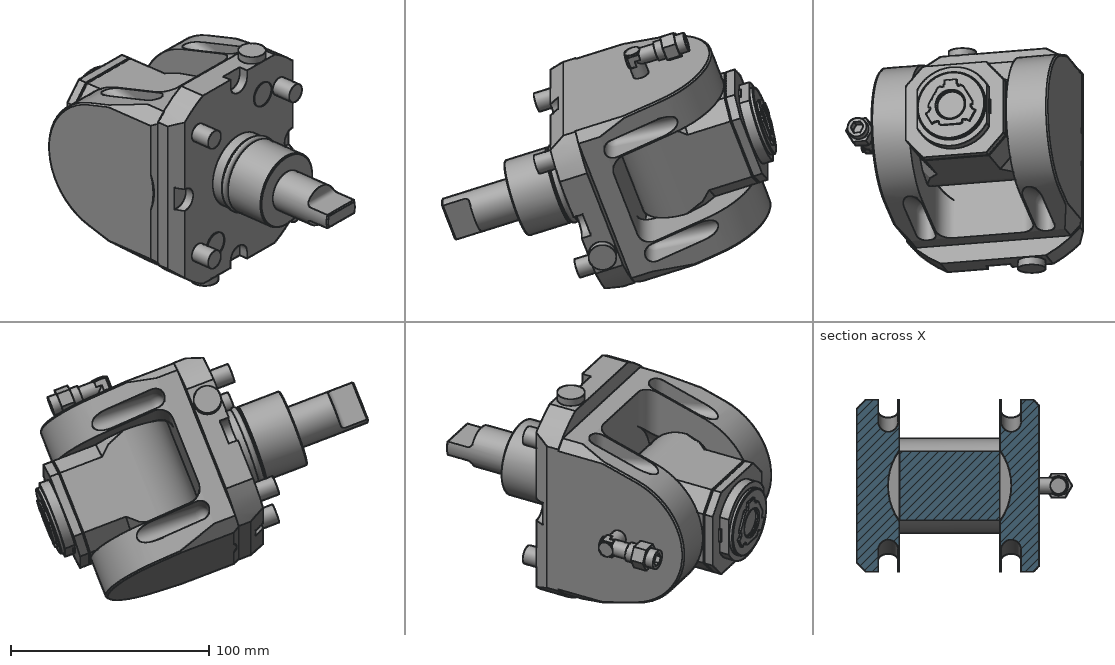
import cadquery as cq
import math


flange_thickness = 14.7
flange_half_width = 45.2
flange_half_height = 55.0
flange_corner_radius = 61.5
flange_bevel_length = 8.2
flange_bevel_depth = 3.8
key_slot_width = 12.6
key_slot_depth = 5.0
key_slot_reach = 10.2

pivot_x = -49.8
cap_radius = 37.4
cap_slope = math.radians(15.8)
body_half_height = 45.5
pad_height = 1.7
corner_sum = 85.8
cap_edge_chamfer = 0.9
pad_bevel_length = 3.4
pad_disc_radius = 33.5
gap_half_width = 25.5
gap_corner_radius = 7.7
gap_relief_radius = 31.0

head_radius = 24.0
head_front_x = -87.5
head_chamfer_y = 8.9
head_chamfer_z = 9.7
chamfer_break_ratio = 0.45
chamfer_full_x = -64.7
chamfer_break_x = -59.4
plate_front_x = -93.0
plate_groove_width = 0.7
plate_groove_depth = 0.5

nut_radius = 20.8
nut_half_width = 18.1
nut_front_x = -98.3
nut_tab_half_width = 19.0
nut_tab_height = 7.2
nut_tab_thickness = 1.0
collar_radius = 17.7
collar_front_x = -100.3
collar_chamfer = 0.5
nose_front_x = -101.5
nose_radius = 11.5
nose_flat_distance = 10.4
nose_notch_radius = 0.9
nose_notch_distance = 11.3
nose_notch_angle = 23
nose_lobe_radius = 13.1
nose_lobe_width = 6.3
nose_lobe_count = 3
nose_bore_radius = 7.2
nose_bore_depth = 1.7
nose_bore_chamfer = 0.7

screw_y = 31.0
screw_z = 35.0
screw_radius = 5.0
screw_length = 11.0
groove_radius = 5.0
groove_tilt = math.radians(13)
groove_end_x = -30.4
groove_end_z = 31.7
groove_length = 51.2
port_y = 18.1
port_z = 36.0
port_seal_radius = 6.7
port_seal_height = 0.5
plug_radius = 7.0
plug_x = -7.0
plug_top_z = 58.96

hub_radius = 20.0
hub_length = 32.5
edge_chamfer = 0.5
seal_groove_start = 6.0
seal_groove_width = 4.3
seal_groove_radius = 18.3
seal_ring_x = 7.7
seal_ring_radius = 1.7
seal_ring_outer_radius = 20.6
shaft_radius = 11.0
shaft_end_x = 69.1
tang_start_x = 54.8
tang_half_thickness = 4.0
tang_root_radius = 2.5
tang_end_chamfer = 0.7

pipe_radius = 4.1
elbow_pad_half_width = 3.0
elbow_pad_half_height = 4.3
fitting_y = 55.0
fitting_end_x = -77.5
fitting_collar_radius = 5.0
fitting_collar_length = 16.0
fitting_hex_x = -72.9
fitting_hex_length = 7.0
fitting_hex_diameter = 14.0
fitting_socket_diameter = 6.7
fitting_socket_depth = 5.1


def cylinder_x(radius, x_start, x_end, y=0, z=0):
    """Cylinder along X between two X positions."""
    return cq.Workplane("YZ", origin=(x_start, y, z)).circle(radius).extrude(x_end - x_start)


def block(x_start, x_end, y_start, y_end, z_start, z_end):
    """Axis-aligned block given by its limits."""
    size = (x_end - x_start, y_end - y_start, z_end - z_start)
    return cq.Workplane("XY", origin=(x_start, y_start, z_start)).box(*size, centered=False)


def extrude_y(sketch, y_start, y_end):
    """Extrude a profile drawn in X and Z from one Y position to another."""
    return sketch.extrude(-(y_end - y_start)).translate((0, y_start, 0))


def make_flange():
    bevel_x = -flange_bevel_length
    bevel_y = flange_half_width - flange_bevel_depth
    flange = (
        cq.Workplane("XY", origin=(0, 0, -flange_half_height))
        .moveTo(-flange_thickness, -flange_half_width)
        .lineTo(bevel_x, -flange_half_width)
        .lineTo(0, -bevel_y)
        .lineTo(0, bevel_y)
        .lineTo(bevel_x, flange_half_width)
        .lineTo(-flange_thickness, flange_half_width)
        .close()
        .extrude(2 * flange_half_height)
    )
    flange = flange.intersect(cylinder_x(flange_corner_radius, -flange_thickness, 0))

    slot_radius = key_slot_width / 2
    for angle, side in ((0, flange_half_height), (90, flange_half_width),
                        (180, flange_half_height), (270, flange_half_width)):
        round_z = side - key_slot_reach + slot_radius
        slot = cylinder_x(slot_radius, -key_slot_depth, 0, z=round_z).union(
            block(-key_slot_depth, 0, -slot_radius, slot_radius, round_z, side)
        )
        flange = flange.cut(slot.rotate((0, 0, 0), (1, 0, 0), angle))
    return flange


def cap_profile():
    """Side outline of the fork: a round front, two sloping flanks and a straight rear block."""
    tangent_x = pivot_x - cap_radius * math.sin(cap_slope)
    tangent_z = cap_radius * math.cos(cap_slope)
    shoulder_x = tangent_x + (body_half_height - tangent_z) / math.tan(cap_slope)
    return (
        cq.Workplane("XZ")
        .moveTo(-flange_thickness, -body_half_height)
        .lineTo(shoulder_x, -body_half_height)
        .lineTo(tangent_x, -tangent_z)
        .threePointArc((pivot_x - cap_radius, 0), (tangent_x, tangent_z))
        .lineTo(shoulder_x, body_half_height)
        .lineTo(-flange_thickness, body_half_height)
        .close()
    )


def make_screw_groove():
    """Open groove that descends towards the flange and ends in a vertical round wall."""
    height_above = body_half_height - groove_end_z + 1.7
    rise = groove_length * math.sin(groove_tilt)
    run = groove_length * math.cos(groove_tilt)
    end = cq.Vector(groove_end_x, screw_y, groove_end_z)
    direction = cq.Vector(-run, 0, rise)
    trough = cq.Workplane(cq.Solid.makeCylinder(groove_radius, groove_length, end, direction))
    rounded_end = cq.Workplane("XY", origin=end.toTuple()).sphere(groove_radius)
    end_wall = cq.Workplane("XY", origin=end.toTuple()).circle(groove_radius).extrude(height_above)
    opening = extrude_y(
        cq.Workplane("XZ").polyline([
            (groove_end_x, groove_end_z),
            (groove_end_x, groove_end_z + height_above),
            (groove_end_x - run, groove_end_z + height_above),
            (groove_end_x - run, groove_end_z + rise),
        ]).close(),
        screw_y - groove_radius,
        screw_y + groove_radius,
    )
    return trough.union(rounded_end).union(end_wall).union(opening)


def make_body():
    pad_y = -flange_half_width - pad_height
    body = extrude_y(cap_profile(), pad_y, flange_half_width)
    body = body.faces("<Y or >Y").edges("not(<Z or >Z or >X)").chamfer(cap_edge_chamfer)

    diamond = (
        cq.Workplane("YZ", origin=(pivot_x - cap_radius, 0, 0))
        .polyline([(corner_sum, 0), (0, corner_sum), (-corner_sum, 0), (0, -corner_sum)])
        .close()
        .extrude(cap_radius - pivot_x)
    )
    body = body.intersect(diamond)

    pad_bevel = (
        cq.Workplane("XY", origin=(0, 0, -body_half_height))
        .polyline([
            (-flange_thickness - pad_bevel_length, pad_y),
            (-flange_thickness, pad_y),
            (-flange_thickness, -flange_half_width),
        ])
        .close()
        .extrude(2 * body_half_height)
    )
    pivot_cover = extrude_y(
        cq.Workplane("XZ").center(pivot_x, 0).circle(pad_disc_radius), pad_y, -flange_half_width
    )
    body = body.cut(pad_bevel).union(pivot_cover)

    gap_rear_x = pivot_x + head_radius
    gap = block(pivot_x - cap_radius, gap_rear_x, -gap_half_width, gap_half_width,
                -body_half_height, body_half_height)
    body = body.cut(gap.edges("|Z and >X").fillet(gap_corner_radius))

    body = body.cut(cylinder_x(gap_relief_radius, gap_rear_x - gap_corner_radius, gap_rear_x))

    groove = make_screw_groove()
    for side in (groove, groove.mirror("XZ")):
        body = body.cut(side).cut(side.mirror("XY"))
    return body


def head_section(x, inset=0.0):
    """Octagonal outline of the spindle head at a given X."""
    half_y = gap_half_width - inset
    half_z = head_radius - inset
    flat_y = half_y - head_chamfer_y
    flat_z = half_z - head_chamfer_z
    return cq.Workplane("YZ", origin=(x, 0, 0)).polyline([
        (half_y, -flat_z), (half_y, flat_z), (flat_y, half_z), (-flat_y, half_z),
        (-half_y, flat_z), (-half_y, -flat_z), (-flat_y, -half_z), (flat_y, -half_z),
    ]).close()


def make_chamfer_cutter():
    """Corner wedge that is full size at the front of the head and runs out at the pivot."""
    run_out_ratio = 0.01
    wires = []
    for x, ratio in ((head_front_x, 1), (chamfer_full_x, 1),
                     (chamfer_break_x, chamfer_break_ratio), (pivot_x, run_out_ratio)):
        wires.append(cq.Wire.makePolygon([
            cq.Vector(x, gap_half_width, head_radius),
            cq.Vector(x, gap_half_width - ratio * head_chamfer_y, head_radius),
            cq.Vector(x, gap_half_width, head_radius - ratio * head_chamfer_z),
        ], close=True))
    return cq.Workplane(cq.Solid.makeLoft(wires, True))


def make_head():
    head = block(head_front_x, pivot_x, -gap_half_width, gap_half_width, -head_radius, head_radius)
    pivot = extrude_y(
        cq.Workplane("XZ").center(pivot_x, 0).circle(head_radius), -gap_half_width, gap_half_width
    )
    head = head.union(pivot)
    cutter = make_chamfer_cutter()
    for side in (cutter, cutter.mirror("XZ")):
        head = head.cut(side).cut(side.mirror("XY"))

    plate_back_x = head_front_x - plate_groove_width
    plate = head_section(plate_front_x).extrude(plate_back_x - plate_front_x)
    neck = head_section(plate_back_x, plate_groove_depth).extrude(plate_groove_width)
    return head.union(neck).union(plate)


def make_spindle():
    nut = cylinder_x(nut_radius, nut_front_x, plate_front_x).intersect(
        block(nut_front_x, plate_front_x, -nut_half_width, nut_half_width, -nut_radius, nut_radius)
    )
    tabs = block(plate_front_x - nut_tab_thickness, plate_front_x,
                 -nut_tab_half_width, nut_tab_half_width, -nut_tab_height / 2, nut_tab_height / 2)
    collar = cylinder_x(collar_radius, collar_front_x, nut_front_x)
    collar = collar.faces("<X").chamfer(collar_chamfer)

    bore = cylinder_x(nose_bore_radius, nose_front_x, nose_front_x + nose_bore_depth)
    nose = cylinder_x(nose_radius, nose_front_x, collar_front_x).cut(bore)
    bore_rim = cq.selectors.RadiusNthSelector(0)
    nose = nose.faces("<X").edges(bore_rim).chamfer(nose_bore_chamfer)
    lobe = block(nose_front_x, collar_front_x, -nose_lobe_width / 2, nose_lobe_width / 2,
                 nose_flat_distance, nose_lobe_radius)
    flat = block(nose_front_x, collar_front_x, -nose_radius, nose_radius,
                 -nose_radius, -nose_flat_distance)
    notch = cylinder_x(nose_notch_radius, nose_front_x, collar_front_x, z=nose_notch_distance)
    for index in range(nose_lobe_count):
        angle = index * 360 / nose_lobe_count
        nose = nose.cut(flat.rotate((0, 0, 0), (1, 0, 0), angle))
        nose = nose.union(lobe.rotate((0, 0, 0), (1, 0, 0), angle))
        for side in (-1, 1):
            notch_angle = angle + side * nose_notch_angle
            nose = nose.cut(notch.rotate((0, 0, 0), (1, 0, 0), notch_angle))

    return nut.union(tabs).union(collar.cut(bore)).union(nose)


def make_drive():
    hub = cylinder_x(hub_radius, 0, hub_length).faces(">X").chamfer(edge_chamfer)
    seal_groove_end = seal_groove_start + seal_groove_width
    groove = cylinder_x(hub_radius, seal_groove_start, seal_groove_end).cut(
        cylinder_x(seal_groove_radius, seal_groove_start, seal_groove_end)
    )
    seal_ring = cq.Workplane(cq.Solid.makeTorus(
        seal_ring_outer_radius - seal_ring_radius, seal_ring_radius,
        cq.Vector(seal_ring_x, 0, 0), cq.Vector(1, 0, 0),
    ))
    shaft = cylinder_x(shaft_radius, hub_length, shaft_end_x)

    flat = block(tang_start_x, shaft_end_x, -shaft_radius, shaft_radius,
                 tang_half_thickness, shaft_radius)
    flat = flat.edges("|Y and <X and <Z").fillet(tang_root_radius)
    shaft = shaft.cut(flat).cut(flat.mirror("XY")).faces(">X").chamfer(tang_end_chamfer)
    return hub.cut(groove).union(seal_ring).union(shaft)


def make_screws():
    screws = cq.Workplane("YZ").rect(2 * screw_y, 2 * screw_z, forConstruction=True).vertices()
    return screws.circle(screw_radius).extrude(screw_length)


def make_coolant_ports():
    """A plug and a face seal at the top, repeated half a turn round the shaft axis."""
    plug = (
        cq.Workplane("XY", origin=(plug_x, port_y, port_z))
        .circle(plug_radius)
        .extrude(plug_top_z - port_z)
        .intersect(block(-flange_thickness, 0, 0, flange_half_width, 0, plug_top_z))
    )
    port = plug.union(cylinder_x(port_seal_radius, 0, port_seal_height, port_y, port_z))
    return port.union(port.rotate((0, 0, 0), (1, 0, 0), 180))


def make_fitting():
    riser = extrude_y(
        cq.Workplane("XZ").center(pivot_x, 0).circle(pipe_radius),
        gap_half_width,
        fitting_y + pipe_radius,
    )
    pipe = cylinder_x(pipe_radius, fitting_end_x, pivot_x + pipe_radius, fitting_y)
    collar = cylinder_x(
        fitting_collar_radius, fitting_end_x, fitting_end_x + fitting_collar_length, fitting_y
    )
    hexagon = (
        cq.Workplane("YZ", origin=(fitting_hex_x, fitting_y, 0))
        .polygon(6, fitting_hex_diameter)
        .extrude(fitting_hex_length)
    )
    socket = (
        cq.Workplane("YZ", origin=(fitting_end_x, fitting_y, 0))
        .polygon(6, fitting_socket_diameter)
        .extrude(fitting_socket_depth)
    )

    inner_x = pivot_x - elbow_pad_half_width
    outer_x = pivot_x + elbow_pad_half_width
    inner_y = fitting_y - elbow_pad_half_width
    outer_y = fitting_y + elbow_pad_half_width
    pad = block(inner_x, outer_x, inner_y, outer_y,
                -elbow_pad_half_height, elbow_pad_half_height)
    pad = pad.cut(block(inner_x, pivot_x, inner_y, fitting_y,
                        -elbow_pad_half_height, elbow_pad_half_height))
    return riser.union(pipe).union(pad).union(collar).union(hexagon).cut(socket)


result = (
    make_flange()
    .union(make_body())
    .union(make_head())
    .union(make_spindle())
    .union(make_drive())
    .union(make_screws())
    .union(make_coolant_ports())
    .union(make_fitting())
)